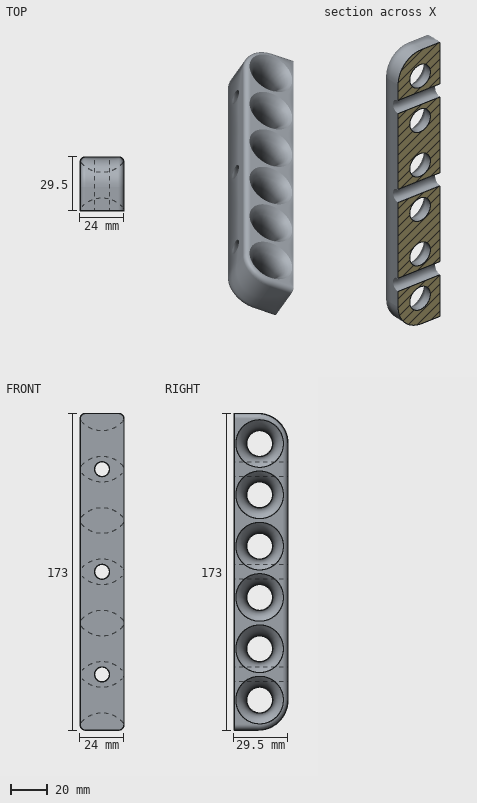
import cadquery as cq
import math

width = 24.0
depth = 29.5
height = 173.0
front_y = -depth / 2
back_y = depth / 2
edge_fillet = 3.0
front_fillet = 0.25

opening_count = 6
opening_pitch = 28.0
opening_y = front_y + 14.0
throat_radius = 7.0
rim_radius = 13.0

end_opening_z = opening_pitch * (opening_count - 1) / 2
corner_radius = height / 2 - end_opening_z

hole_diameter = 8.0
mouth_fillet = front_fillet
hole_heights = (-2 * opening_pitch, 0.0, 2 * opening_pitch)


def make_body():
    """Bar with rounded back corners, filleted side edges and a finely rounded front rim."""
    body = cq.Workplane("XY").box(width, depth, height)
    body = body.edges("|X and >Y").fillet(corner_radius)
    side_edges = body.faces("<X or >X").edges("not(<Y)")
    body = side_edges.fillet(edge_fillet)
    return body.faces("<Y").edges().fillet(front_fillet)


def make_opening(center_z):
    """Hourglass cutter: two mirrored arcs, tangent at the mid-width throat, revolved about X."""
    half_width = width / 2
    flare = rim_radius - throat_radius
    arc_radius = (half_width**2 + flare**2) / (2 * flare)

    def flared_radius(x):
        return throat_radius + arc_radius - math.sqrt(arc_radius**2 - x**2)

    overrun = 0.5
    end_x = half_width + overrun
    mid_x = end_x / 2
    return (
        cq.Workplane("XY")
        .moveTo(-end_x, 0)
        .lineTo(-end_x, flared_radius(end_x))
        .threePointArc((-mid_x, flared_radius(mid_x)), (0, throat_radius))
        .threePointArc((mid_x, flared_radius(mid_x)), (end_x, flared_radius(end_x)))
        .lineTo(end_x, 0)
        .close()
        .revolve(360, (0, 0, 0), (1, 0, 0))
        .translate((0, opening_y, center_z))
    )


def make_mounting_hole(center_z):
    """Round through hole cutter along Y with a finely rounded mouth at the front face."""
    hole_radius = hole_diameter / 2
    mouth_radius = hole_radius + mouth_fillet
    arc_offset = mouth_fillet * (1 - math.sqrt(0.5))
    return (
        cq.Workplane("XY")
        .moveTo(0, front_y)
        .lineTo(mouth_radius, front_y)
        .threePointArc(
            (hole_radius + arc_offset, front_y + arc_offset),
            (hole_radius, front_y + mouth_fillet),
        )
        .lineTo(hole_radius, back_y)
        .lineTo(0, back_y)
        .close()
        .revolve(360, (0, 0, 0), (0, 1, 0))
        .translate((0, 0, center_z))
    )


result = make_body()
for index in range(opening_count):
    result = result.cut(make_opening(index * opening_pitch - end_opening_z))
for hole_z in hole_heights:
    result = result.cut(make_mounting_hole(hole_z))